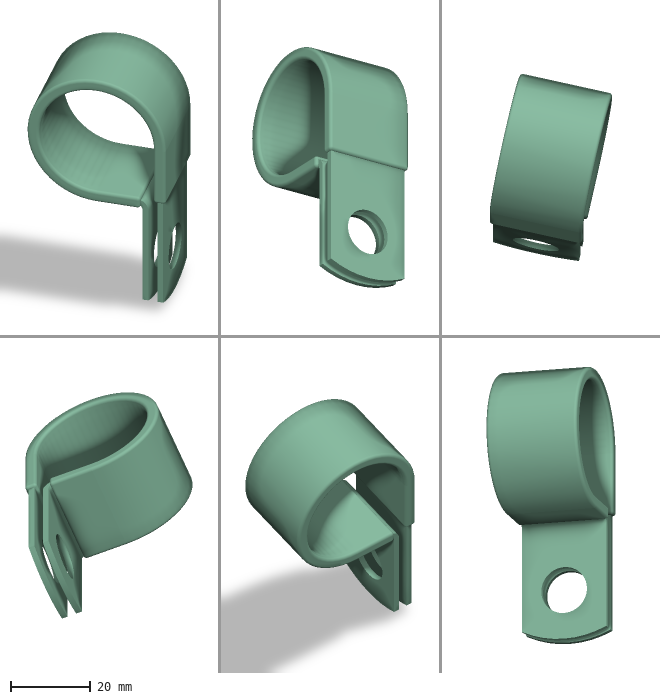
import cadquery as cq
import math

outer_diameter = 36.35
total_height = 66.6
cushion_width = 23.85
cover = 0.8
strap_thickness = 1.5
leg_gap = 2.3
bend_inner_radius = 1.5
cushion_foot_end = 11.5
hole_diameter = 12.0
hole_to_tip = 12.7
tip_radius = 25.4

outer_radius = outer_diameter / 2
inner_radius = outer_radius - strap_thickness - 2 * cover
strap_outer_radius = outer_radius - cover
strap_inner_radius = inner_radius + cover
strap_width = cushion_width - 2 * cover
tip_z = outer_radius - total_height
cushion_leg_end_z = -strap_inner_radius
bent_leg_outer_x = strap_inner_radius - leg_gap
bent_leg_inner_x = bent_leg_outer_x - strap_thickness
diagonal = math.sqrt(0.5)


def extrude_centered(outline, width):
    """Extrude an XZ outline equally to both sides of Y = 0."""
    return outline.extrude(width / 2, both=True)


def make_cushion():
    """Three-quarter loop with two straight ends, rounded on every outer edge."""
    outline = (
        cq.Workplane("XZ")
        .moveTo(outer_radius, cushion_leg_end_z)
        .lineTo(outer_radius, 0)
        .threePointArc((-outer_radius * diagonal, outer_radius * diagonal), (0, -outer_radius))
        .lineTo(cushion_foot_end, -outer_radius)
        .lineTo(cushion_foot_end, -inner_radius)
        .lineTo(0, -inner_radius)
        .threePointArc((-inner_radius * diagonal, inner_radius * diagonal), (inner_radius, 0))
        .lineTo(inner_radius, cushion_leg_end_z)
        .close()
    )
    body = extrude_centered(outline, cushion_width)
    straight_ends = cq.selectors.BoxSelector(
        (cushion_foot_end - cover / 2, -cushion_width, -outer_radius - cover),
        (outer_radius + cover, cushion_width, cushion_leg_end_z + 2 * strap_thickness),
    )
    end_edges = body.edges("|Y").edges(straight_ends)
    return end_edges.add(body.faces("<Y or >Y").edges()).fillet(cover)


def make_straight_leg():
    """Flat leg continuing the strap straight down from the side of the loop."""
    outline = (
        cq.Workplane("XZ")
        .moveTo(strap_inner_radius, tip_z)
        .lineTo(strap_inner_radius, 0)
        .lineTo(strap_outer_radius, 0)
        .lineTo(strap_outer_radius, tip_z)
        .close()
    )
    return extrude_centered(outline, strap_width)


def make_bent_leg():
    """Leg leaving the bottom of the loop and turning down through a round bend."""
    bend_outer_radius = bend_inner_radius + strap_thickness
    bend_x = bent_leg_inner_x - bend_inner_radius
    bend_z = -strap_outer_radius - bend_inner_radius

    def bend_middle(radius):
        return bend_x + radius * diagonal, bend_z + radius * diagonal

    outline = (
        cq.Workplane("XZ")
        .moveTo(0, -strap_inner_radius)
        .lineTo(bend_x, -strap_inner_radius)
        .threePointArc(bend_middle(bend_outer_radius), (bent_leg_outer_x, bend_z))
        .lineTo(bent_leg_outer_x, tip_z)
        .lineTo(bent_leg_inner_x, tip_z)
        .lineTo(bent_leg_inner_x, bend_z)
        .threePointArc(bend_middle(bend_inner_radius), (bend_x, -strap_outer_radius))
        .lineTo(0, -strap_outer_radius)
        .close()
    )
    return extrude_centered(outline, strap_width)


def make_tip_envelope():
    """Leg envelope with an arched lower end and the bolt hole, along X."""
    half_width = strap_width / 2
    corner_z = tip_z + tip_radius - math.sqrt(tip_radius**2 - half_width**2)
    return (
        cq.Workplane("YZ")
        .moveTo(-half_width, 0)
        .lineTo(-half_width, corner_z)
        .threePointArc((0, tip_z), (half_width, corner_z))
        .lineTo(half_width, 0)
        .close()
        .moveTo(0, tip_z + hole_to_tip)
        .circle(hole_diameter / 2)
        .extrude(outer_radius)
    )


legs = make_straight_leg().union(make_bent_leg()).intersect(make_tip_envelope())
result = make_cushion().union(legs)